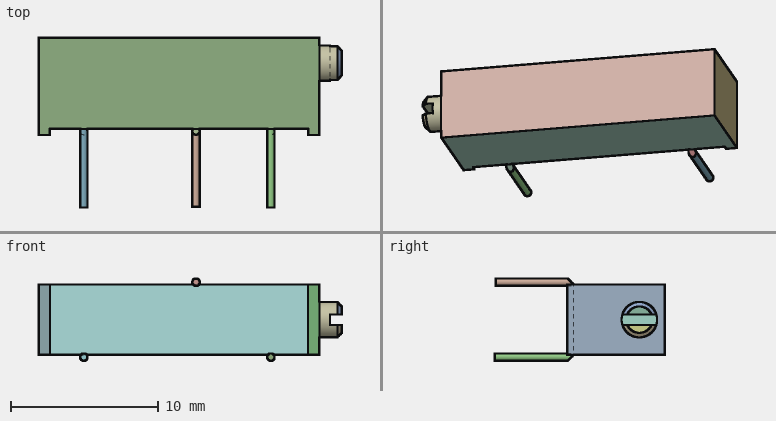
import cadquery as cq

body_length = 19.05
body_depth = 6.62
body_height = 4.8
foot_width = 0.76
foot_height = 0.43

overall_length = 20.57
screw_length = overall_length - body_length
screw_diameter = 2.4
screw_chamfer = 0.3
screw_from_back = 1.73
slot_width = 0.7
slot_depth = 0.8

overall_depth = 11.55
pin_diameter = 0.51
middle_pin_shortfall = 0.06
pin_row_spacing = 5.08
first_pin_x = 3.06
middle_pin_x = first_pin_x + 7.61
last_pin_x = middle_pin_x + 5.08

seat_y = foot_height
back_y = body_depth
pin_end_y = body_depth - overall_depth


def make_body():
    block = cq.Workplane("XY").box(
        body_length, body_depth, body_height, centered=(False, False, True)
    )
    recess = (
        cq.Workplane("XY")
        .box(body_length - 2 * foot_width, foot_height, body_height, centered=(False, False, True))
        .translate((foot_width, 0, 0))
    )
    return block.cut(recess)


def make_screw():
    screw_y = back_y - screw_from_back
    screw = (
        cq.Workplane("YZ", origin=(body_length, screw_y, 0))
        .circle(screw_diameter / 2)
        .extrude(screw_length)
        .faces(">X")
        .chamfer(screw_chamfer)
    )
    slot = cq.Workplane("XY").box(slot_depth, screw_diameter, slot_width).translate(
        (overall_length - slot_depth / 2, screw_y, 0)
    )
    return screw.cut(slot)


def make_pin(x, side, end_y):
    """Pin at x on the top (side=1) or bottom (side=-1) face, bevelled at 45 degrees above the seat."""
    pin_z = side * pin_row_spacing / 2
    pin = (
        cq.Workplane("XZ", origin=(x, seat_y, pin_z))
        .circle(pin_diameter / 2)
        .extrude(seat_y - end_y)
    )
    face_z = side * body_height / 2
    bevel = (
        cq.Workplane("YZ", origin=(x, 0, 0))
        .moveTo(seat_y, face_z)
        .lineTo(seat_y, face_z + side * pin_diameter)
        .lineTo(seat_y - pin_diameter, face_z + side * pin_diameter)
        .close()
        .extrude(pin_diameter, both=True)
    )
    return pin.cut(bevel)


result = make_body().union(make_screw())
pins = (
    (first_pin_x, -1, pin_end_y),
    (middle_pin_x, 1, pin_end_y + middle_pin_shortfall),
    (last_pin_x, -1, pin_end_y),
)
for pin_x, pin_side, tip_y in pins:
    result = result.union(make_pin(pin_x, pin_side, tip_y))